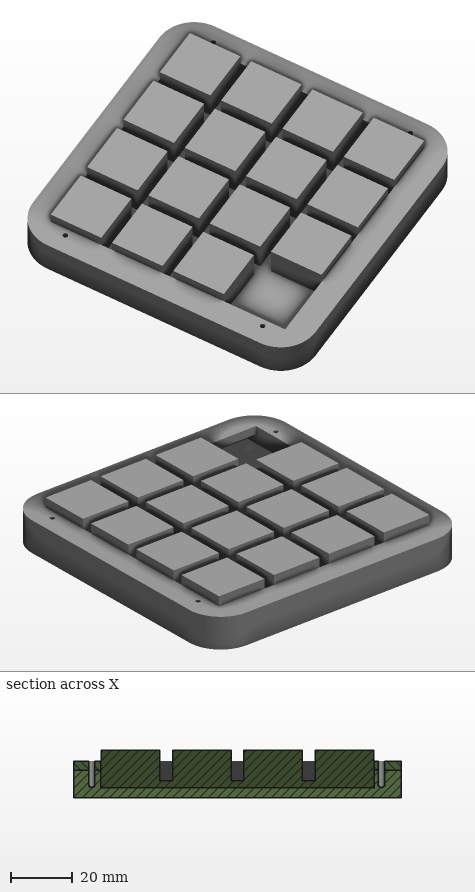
import cadquery as cq
import math

CASE_SIDE = 106.0
CORNER_RADIUS = 13.0
BASE_TOP = 9.0
COVER_TOP = 12.0
KEY_TOP = 15.6

KEYS_PER_SIDE = 4
KEY_SIDE = 19.0
KEY_PITCH = 23.0
EMPTY_POSITION = (KEYS_PER_SIDE - 1, 0)
GRID_SPAN = (KEYS_PER_SIDE - 1) * KEY_PITCH
GRID_SIDE = GRID_SPAN + KEY_SIDE

CAVITY_FLOOR = 3.4
WEB_TOP = 5.6
WEB_SIDE_MARGIN = 4.2
WEB_LENGTH = GRID_SIDE + 2 * WEB_SIDE_MARGIN
WEB_WIDTH = GRID_SIDE

SCREW_HOLE_DIAMETER = 1.8
SCREW_SPACING_X = 74.0
SCREW_SPACING_Y = 93.5
SCREW_OFFSET_Y = 0.26
DRILL_TIP_ANGLE = 118.0
SCREW_HOLE_BOTTOM = CAVITY_FLOOR


def block(length, width, bottom, top):
    """Rectangular block centred on the Z axis between two heights."""
    return cq.Workplane("XY").workplane(offset=bottom).rect(length, width).extrude(top - bottom)


def rounded_slab(bottom, top):
    """Square slab with the rounded vertical corners of the case."""
    return block(CASE_SIDE, CASE_SIDE, bottom, top).edges("|Z").fillet(CORNER_RADIUS)


def drilled_holes():
    """Drill shapes at the four screw positions, from their conical tips up to the cover top."""
    radius = SCREW_HOLE_DIAMETER / 2
    tip_height = radius / math.tan(math.radians(DRILL_TIP_ANGLE / 2))
    drill = (
        cq.Workplane("XZ")
        .moveTo(0, SCREW_HOLE_BOTTOM)
        .lineTo(radius, SCREW_HOLE_BOTTOM + tip_height)
        .lineTo(radius, COVER_TOP)
        .lineTo(0, COVER_TOP)
        .close()
        .revolve(360, (0, 0), (0, 1))
        .val()
    )
    return (
        cq.Workplane("XY")
        .center(0, SCREW_OFFSET_Y)
        .rect(SCREW_SPACING_X, SCREW_SPACING_Y, forConstruction=True)
        .vertices()
        .eachpoint(lambda place: drill.moved(place))
    )


def make_base():
    """Tray with an open cavity that holds the web of the keypad."""
    cavity = block(WEB_LENGTH, WEB_WIDTH, CAVITY_FLOOR, BASE_TOP)
    return rounded_slab(0, BASE_TOP).cut(cavity).cut(drilled_holes())


def make_cover():
    """Frame with a square window that closely surrounds the key grid."""
    window = block(GRID_SIDE, GRID_SIDE, BASE_TOP, COVER_TOP)
    return rounded_slab(BASE_TOP, COVER_TOP).cut(window).cut(drilled_holes())


def make_keypad():
    """Web plate carrying all the keys as one solid."""
    key_centres = [
        (column * KEY_PITCH - GRID_SPAN / 2, row * KEY_PITCH - GRID_SPAN / 2)
        for column in range(KEYS_PER_SIDE)
        for row in range(KEYS_PER_SIDE)
        if (column, row) != EMPTY_POSITION
    ]
    keys = (
        cq.Workplane("XY")
        .workplane(offset=WEB_TOP)
        .pushPoints(key_centres)
        .rect(KEY_SIDE, KEY_SIDE)
        .extrude(KEY_TOP - WEB_TOP)
    )
    web = block(WEB_LENGTH, WEB_WIDTH, CAVITY_FLOOR, WEB_TOP)
    return web.union(keys)


base = make_base().solids()
cover = make_cover().solids()
keypad = make_keypad().solids()

result = cq.Compound.makeCompound([base.val(), cover.val(), keypad.val()])